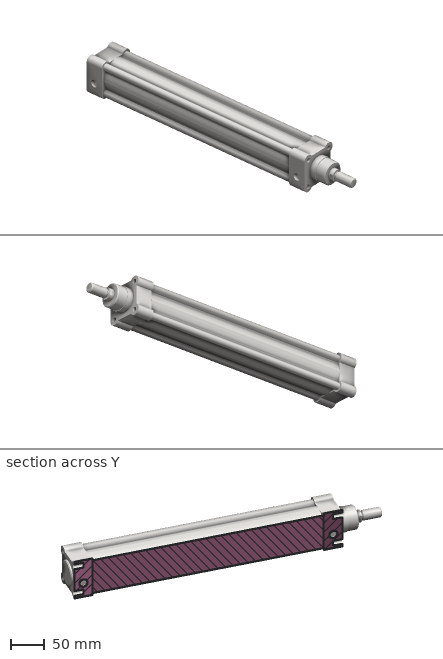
import cadquery as cq
import math


TOTAL_LENGTH = 499.0
PILOT_LENGTH = 3.5
COVER_LENGTH = 30.0
BARREL_LENGTH = 367.0
COLLAR_LENGTH = 10.5
NOSE_LENGTH = 17.5
EDGE_CHAMFER = 1.5

COVER_WIDTH = 64.5
BOSS_RADIUS = 9.0
BOSS_OFFSET = COVER_WIDTH / 2 - BOSS_RADIUS
COVER_FLAT = 27.5
PILOT_DIAMETER = 40.0
NOSE_DIAMETER = 38.0
SCREW_HOLE_DIAMETER = 7.5
SCREW_HOLE_DEPTH = 15.0
PORT_DIAMETER = 12.0
PORT_DEPTH = 12.0
PORT_HEIGHT = -8.0

BARREL_WIDTH = 58.0
RIB_RADIUS = BARREL_WIDTH / 2 - BOSS_OFFSET
BARREL_RADIUS = 27.5
FLOOR_OFFSET = 24.0
RIDGE_WIDTH = 10.5
RIDGE_HEIGHT = 28.0

ROD_DIAMETER = 19.5
ROD_SHOULDER_LENGTH = 8.0
FLAT_START = 2.0
WRENCH_SIZE = 17.0
UNDERCUT_LENGTH = 2.0
THREAD_DIAMETER = 16.0
UNDERCUT_DIAMETER = THREAD_DIAMETER - 2 * EDGE_CHAMFER

REAR_COVER_START = PILOT_LENGTH
BARREL_START = REAR_COVER_START + COVER_LENGTH
FRONT_COVER_START = BARREL_START + BARREL_LENGTH
FRONT_COVER_END = FRONT_COVER_START + COVER_LENGTH
COLLAR_END = FRONT_COVER_END + COLLAR_LENGTH
ROD_START = COLLAR_END + NOSE_LENGTH


def section(x):
    """Workplane across the axis at station x: its local x is Y and its local y is Z."""
    return cq.Workplane("YZ", origin=(x, 0, 0))


def round_bar(start, end, diameter):
    return section(start).circle(diameter / 2).extrude(end - start)


def at_bosses(x):
    """Section at station x with a point on each of the four boss axes."""
    return section(x).rect(2 * BOSS_OFFSET, 2 * BOSS_OFFSET, forConstruction=True).vertices()


def cover_block(start):
    """Block with a round boss at each corner; its -Y face is flush with the bosses and has an air port."""
    port_face = -COVER_WIDTH / 2
    core = section(start).rect(2 * BOSS_OFFSET, 2 * COVER_FLAT).extrude(COVER_LENGTH)
    sides = (
        section(start)
        .center((COVER_FLAT + port_face) / 2, 0)
        .rect(COVER_FLAT - port_face, 2 * BOSS_OFFSET)
        .extrude(COVER_LENGTH)
    )
    bosses = at_bosses(start).circle(BOSS_RADIUS).extrude(COVER_LENGTH)
    port = (
        cq.Workplane("XZ", origin=(start + COVER_LENGTH / 2, port_face, PORT_HEIGHT))
        .circle(PORT_DIAMETER / 2)
        .extrude(-PORT_DEPTH)
    )
    return core.union(sides).union(bosses).cut(port)


def make_rear_cover():
    """Cover with a chamfered centring pilot and screw holes in its rear face."""
    pilot = round_bar(0, REAR_COVER_START, PILOT_DIAMETER).faces("<X").chamfer(EDGE_CHAMFER)
    holes = at_bosses(REAR_COVER_START).circle(SCREW_HOLE_DIAMETER / 2).extrude(SCREW_HOLE_DEPTH)
    return cover_block(REAR_COVER_START).union(pilot).cut(holes)


def make_front_cover():
    """Cover with a collar, a chamfered nose and screw holes in its front face."""
    collar = round_bar(FRONT_COVER_END, COLLAR_END, PILOT_DIAMETER)
    nose = round_bar(COLLAR_END, ROD_START, NOSE_DIAMETER).faces(">X").chamfer(EDGE_CHAMFER)
    holes = at_bosses(FRONT_COVER_END).circle(SCREW_HOLE_DIAMETER / 2).extrude(-SCREW_HOLE_DEPTH)
    return cover_block(FRONT_COVER_START).union(collar).union(nose).cut(holes)


def quarter_turns(point, turns):
    """The (y, z) point turned about the axis by a number of quarter turns."""
    y, z = point
    for _ in range(turns):
        y, z = -z, y
    return y, z


def make_barrel():
    """Round body with a low roof-shaped ridge along each side and a rounded rib at each corner."""
    half_ridge = RIDGE_WIDTH / 2
    ridge_foot = math.sqrt(BARREL_RADIUS**2 - half_ridge**2)

    tangent = RIB_RADIUS * math.sqrt(0.5)
    rib_inner = BOSS_OFFSET - tangent
    rib_outer = BOSS_OFFSET + tangent
    floor_end = rib_inner - (rib_outer - FLOOR_OFFSET)
    floor_start = math.sqrt(BARREL_RADIUS**2 - FLOOR_OFFSET**2)

    arc_angle = (math.asin(half_ridge / BARREL_RADIUS) + math.asin(floor_start / BARREL_RADIUS)) / 2
    arc_inner = BARREL_RADIUS * math.sin(arc_angle)
    arc_outer = BARREL_RADIUS * math.cos(arc_angle)

    profile = section(BARREL_START).moveTo(ridge_foot, -half_ridge)
    for turns in range(4):
        profile = (
            profile.lineTo(*quarter_turns((RIDGE_HEIGHT, 0), turns))
            .lineTo(*quarter_turns((ridge_foot, half_ridge), turns))
            .threePointArc(
                quarter_turns((arc_outer, arc_inner), turns),
                quarter_turns((FLOOR_OFFSET, floor_start), turns),
            )
            .lineTo(*quarter_turns((FLOOR_OFFSET, floor_end), turns))
            .lineTo(*quarter_turns((rib_outer, rib_inner), turns))
            .threePointArc(
                quarter_turns((rib_outer, rib_outer), turns),
                quarter_turns((rib_inner, rib_outer), turns),
            )
            .lineTo(*quarter_turns((floor_end, FLOOR_OFFSET), turns))
            .lineTo(*quarter_turns((floor_start, FLOOR_OFFSET), turns))
            .threePointArc(
                quarter_turns((arc_inner, arc_outer), turns),
                quarter_turns((half_ridge, ridge_foot), turns),
            )
        )
    return profile.close().extrude(BARREL_LENGTH)


def make_rod():
    """Shoulder with two wrench flats facing -Y and +Y, an undercut and a plain threaded end."""
    shoulder_end = ROD_START + ROD_SHOULDER_LENGTH
    thread_start = shoulder_end + UNDERCUT_LENGTH
    lead = round_bar(ROD_START, ROD_START + FLAT_START, ROD_DIAMETER)
    flatted = round_bar(ROD_START + FLAT_START, shoulder_end, ROD_DIAMETER).intersect(
        section(ROD_START).rect(WRENCH_SIZE, ROD_DIAMETER).extrude(ROD_SHOULDER_LENGTH)
    )
    undercut = round_bar(shoulder_end, thread_start, UNDERCUT_DIAMETER)
    thread = round_bar(thread_start, TOTAL_LENGTH, THREAD_DIAMETER).faces("<X or >X").chamfer(EDGE_CHAMFER)
    return lead.union(flatted).union(undercut).union(thread)


rear_cover = make_rear_cover().solids().val()
barrel = make_barrel().solids().val()
front_cover = make_front_cover().solids().val()
rod = make_rod().solids().val()

result = cq.Compound.makeCompound([rear_cover, barrel, front_cover, rod])